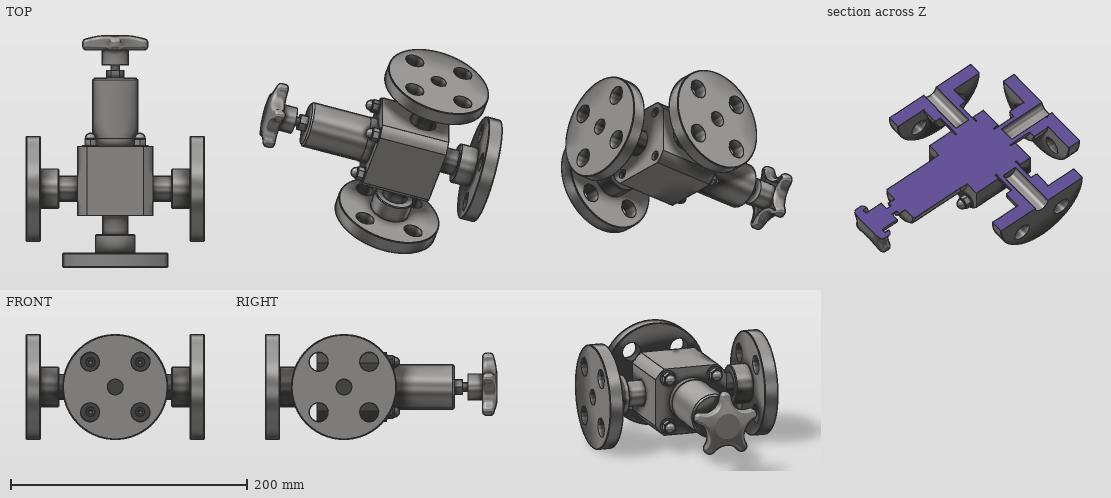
import cadquery as cq
import math


BODY_WIDTH = 63.5
BODY_HEIGHT = 58.0
BODY_TURNED_DIA = 75.4
BODY_FRONT_Y = -22.8
BODY_BACK_Y = 35.9

OVERALL_WIDTH = 150.88
PORT_LENGTH = (OVERALL_WIDTH - BODY_WIDTH) / 2
FLANGE_DIA = 88.9
FLANGE_THICKNESS = 12.0
FLANGE_CHAMFER = 0.6
FLANGE_HOLE_DIA = 16.0
FLANGE_HOLE_OFFSET = 21.3
HUB_DIA = 33.54
HUB_LENGTH = 15.7
HUB_CHAMFER = 0.8
PIPE_DIA = 21.34
PIPE_SOCKET_DIA = 23.0
PIPE_SOCKET_DEPTH = 5.0
BORE_DIA = 13.36

BOLT_OFFSET = 21.0
BOLT_RECESS_DIA = 7.92
BOLT_RECESS_DEPTH = 4.0
BOLT_HEAD_DIA = 7.44
BOLT_HEAD_HEIGHT = 1.0
BOLT_SOCKET_DIA = 3.73
BOLT_SOCKET_CONE = 1.1
NUT_FLATS = 9.53
NUT_HEX_HEIGHT = 5.2
NUT_DOME_DIA = 8.7
NUT_COLLAR_HEIGHT = 1.0
WASHER_DIA = 13.36
WASHER_THICKNESS = 0.6

BONNET_DIA = 38.1
BONNET_NECK_DIA = 38.73
BONNET_NECK_LENGTH = 6.5
BONNET_LENGTH = 57.6
BONNET_CHAMFER = 1.5
GLAND_FLATS = 12.7
GLAND_HEIGHT = 6.7
STEM_DIA = 7.44
STEM_EXPOSED = 4.6

GRIP_HUB_DIA = 22.1
GRIP_HUB_LENGTH = 12.4
OVERALL_DEPTH = 196.08
GRIP_END_Y = BODY_FRONT_Y - PORT_LENGTH + OVERALL_DEPTH
LOBE_COUNT = 5
LOBE_CENTRE_RADIUS = 24.3
LOBE_RADIUS = 4.5
SCALLOP_FLOOR_RADIUS = 17.0
CROWN_RADIUS = 95.0
RIM_TOP_FILLET = 2.7
RIM_BASE_FILLET = 3.5
RIM_WALL = 3.7
POCKET_DEPTH = 4.0

BONNET_END_Y = BODY_BACK_Y + BONNET_LENGTH
GLAND_END_Y = BONNET_END_Y + GLAND_HEIGHT
GRIP_HUB_Y = GLAND_END_Y + STEM_EXPOSED
GRIP_BASE_Y = GRIP_HUB_Y + GRIP_HUB_LENGTH
GRIP_HEIGHT = GRIP_END_Y - GRIP_BASE_Y
PORTS = [
    ((-BODY_WIDTH / 2, 0, 0), (-1, 0, 0)),
    ((BODY_WIDTH / 2, 0, 0), (1, 0, 0)),
    ((0, BODY_FRONT_Y, 0), (0, -1, 0)),
]


def along_y(y, x=0, z=0):
    """Workplane at height y that extrudes towards +Y, with local axes +Z and +X."""
    return cq.Workplane(cq.Plane(origin=(x, y, z), xDir=(0, 0, 1), normal=(0, 1, 0)))


def cylinder(y, dia, length, x=0, z=0):
    return along_y(y, x, z).circle(dia / 2).extrude(length)


def hexagon(y, flats, length, x=0, z=0):
    return along_y(y, x, z).polygon(6, flats / math.cos(math.pi / 6)).extrude(length)


def bolt_places():
    return [(x, z) for x in (-BOLT_OFFSET, BOLT_OFFSET) for z in (-BOLT_OFFSET, BOLT_OFFSET)]


def make_body():
    length = BODY_BACK_Y - BODY_FRONT_Y
    block = along_y(BODY_FRONT_Y).rect(BODY_HEIGHT, BODY_WIDTH).extrude(length)
    return block.intersect(cylinder(BODY_FRONT_Y, BODY_TURNED_DIA, length))


def port_plane(origin, direction):
    return cq.Plane(origin=origin, xDir=(0, 0, 1), normal=direction)


def make_pipe_socket(origin, direction):
    """Clearance hole in the body around the end of a pipe."""
    return cq.Workplane(port_plane(origin, direction)).circle(PIPE_SOCKET_DIA / 2).extrude(-PIPE_SOCKET_DEPTH)


def make_port(origin, direction):
    """Pipe, hub and drilled flange standing on the body at origin, with a blind bore."""
    plane = port_plane(origin, direction)
    flange_start = PORT_LENGTH - FLANGE_THICKNESS
    hub_start = flange_start - HUB_LENGTH
    pipe = (
        cq.Workplane(plane).workplane(offset=-PIPE_SOCKET_DEPTH)
        .circle(PIPE_DIA / 2).extrude(PIPE_SOCKET_DEPTH + hub_start)
    )
    hub = (
        cq.Workplane(plane).workplane(offset=hub_start).circle(HUB_DIA / 2).extrude(HUB_LENGTH)
        .edges("%CIRCLE").chamfer(HUB_CHAMFER)
    )
    flange = (
        cq.Workplane(plane).workplane(offset=flange_start)
        .circle(FLANGE_DIA / 2).extrude(FLANGE_THICKNESS)
        .edges("%CIRCLE").chamfer(FLANGE_CHAMFER)
    )
    holes = (
        cq.Workplane(plane).workplane(offset=flange_start)
        .rect(2 * FLANGE_HOLE_OFFSET, 2 * FLANGE_HOLE_OFFSET, forConstruction=True).vertices()
        .circle(FLANGE_HOLE_DIA / 2).extrude(FLANGE_THICKNESS)
    )
    bore = cq.Workplane(plane).circle(BORE_DIA / 2).extrude(PORT_LENGTH)
    return pipe.union(hub).union(flange).cut(holes).cut(bore)


def make_acorn_nut(x, z):
    hex_y = BODY_BACK_Y + WASHER_THICKNESS
    washer = cylinder(BODY_BACK_Y, WASHER_DIA, WASHER_THICKNESS, x, z)
    nut = hexagon(hex_y, NUT_FLATS, NUT_HEX_HEIGHT, x, z)
    collar_y = hex_y + NUT_HEX_HEIGHT
    collar = cylinder(collar_y, NUT_FLATS, NUT_COLLAR_HEIGHT, x, z)
    dome = cq.Workplane("XY").sphere(NUT_DOME_DIA / 2).translate((x, collar_y + NUT_COLLAR_HEIGHT, z))
    return washer.union(nut).union(collar).union(dome)


def add_bolt_head(body, x, z):
    """Recess in the front face holding a slightly smaller bolt head with a cone-ended socket."""
    floor_y = BODY_FRONT_Y + BOLT_RECESS_DEPTH
    recess = cylinder(BODY_FRONT_Y, BOLT_RECESS_DIA, BOLT_RECESS_DEPTH, x, z)
    head = cylinder(floor_y - BOLT_HEAD_HEIGHT, BOLT_HEAD_DIA, BOLT_HEAD_HEIGHT, x, z)
    socket = cylinder(floor_y - BOLT_HEAD_HEIGHT, BOLT_SOCKET_DIA, BOLT_HEAD_HEIGHT, x, z)
    cone = cq.Workplane(
        cq.Solid.makeCone(
            BOLT_SOCKET_DIA / 2, 0, BOLT_SOCKET_CONE, cq.Vector(x, floor_y, z), cq.Vector(0, 1, 0)
        )
    )
    return body.cut(recess).union(head).cut(socket).cut(cone)


def make_bonnet():
    neck = cylinder(BODY_BACK_Y, BONNET_NECK_DIA, BONNET_NECK_LENGTH)
    barrel = (
        cylinder(BODY_BACK_Y + BONNET_NECK_LENGTH, BONNET_DIA, BONNET_LENGTH - BONNET_NECK_LENGTH)
        .faces(">Y").edges().chamfer(BONNET_CHAMFER)
    )
    gland = along_y(BONNET_END_Y).polygon(6, GLAND_FLATS / math.cos(math.pi / 6)).extrude(GLAND_HEIGHT)
    gland = gland.rotate((0, 0, 0), (0, 1, 0), 90)
    stem = cylinder(GLAND_END_Y, STEM_DIA, STEM_EXPOSED)
    return neck.union(barrel).union(gland).union(stem)


def polar(radius, angle):
    return radius * math.cos(angle), radius * math.sin(angle)


def grip_outline(y, wall):
    """Five-lobed outline moved inwards by wall: lobe arcs joined by tangent scallop arcs."""
    half_pitch = math.pi / LOBE_COUNT
    across = LOBE_CENTRE_RADIUS * math.sin(half_pitch)
    along = LOBE_CENTRE_RADIUS * math.cos(half_pitch)
    gap = along - SCALLOP_FLOOR_RADIUS
    scallop_radius = (across**2 + gap**2 - LOBE_RADIUS**2) / (2 * (gap + LOBE_RADIUS))
    scallop_centre = SCALLOP_FLOOR_RADIUS + scallop_radius
    reach_x, reach_z = polar(scallop_centre, half_pitch)
    tangent_angle = math.atan2(reach_z, reach_x - LOBE_CENTRE_RADIUS)
    lobe_radius = LOBE_RADIUS - wall
    tangent_x = LOBE_CENTRE_RADIUS + lobe_radius * math.cos(tangent_angle)
    tangent_z = lobe_radius * math.sin(tangent_angle)
    tangent_radius = math.hypot(tangent_x, tangent_z)
    tangent_offset = math.atan2(tangent_z, tangent_x)

    outline = along_y(y).moveTo(*polar(tangent_radius, -tangent_offset))
    for lobe in range(LOBE_COUNT):
        axis = 2 * half_pitch * lobe
        next_axis = axis + 2 * half_pitch
        outline = outline.threePointArc(
            polar(LOBE_CENTRE_RADIUS + lobe_radius, axis), polar(tangent_radius, axis + tangent_offset)
        ).threePointArc(
            polar(SCALLOP_FLOOR_RADIUS - wall, axis + half_pitch),
            polar(tangent_radius, next_axis - tangent_offset),
        )
    return outline.close()


def make_handwheel():
    star = grip_outline(GRIP_BASE_Y, 0).extrude(2 * GRIP_HEIGHT)
    crown_centre_y = GRIP_END_Y - math.sqrt(CROWN_RADIUS**2 - (GRIP_HUB_DIA / 2) ** 2)
    crown = cq.Workplane("XY").sphere(CROWN_RADIUS).translate((0, crown_centre_y, 0))
    grip = star.intersect(crown)
    grip = grip.faces("<Y").edges().fillet(RIM_BASE_FILLET)
    grip = grip.faces(">Y").edges().fillet(RIM_TOP_FILLET)
    grip = grip.cut(cylinder(GRIP_END_Y, 2 * GRIP_HUB_DIA, GRIP_HEIGHT))
    pocket = grip_outline(GRIP_BASE_Y, RIM_WALL).extrude(POCKET_DEPTH)
    hub = cylinder(GRIP_HUB_Y, GRIP_HUB_DIA, GRIP_END_Y - GRIP_HUB_Y)
    return grip.cut(pocket).union(hub)


result = make_body()
for bolt_x, bolt_z in bolt_places():
    result = add_bolt_head(result, bolt_x, bolt_z)
    result = result.union(make_acorn_nut(bolt_x, bolt_z))
for port_origin, port_direction in PORTS:
    result = result.cut(make_pipe_socket(port_origin, port_direction))
    result = result.union(make_port(port_origin, port_direction))
result = result.union(make_bonnet()).union(make_handwheel())